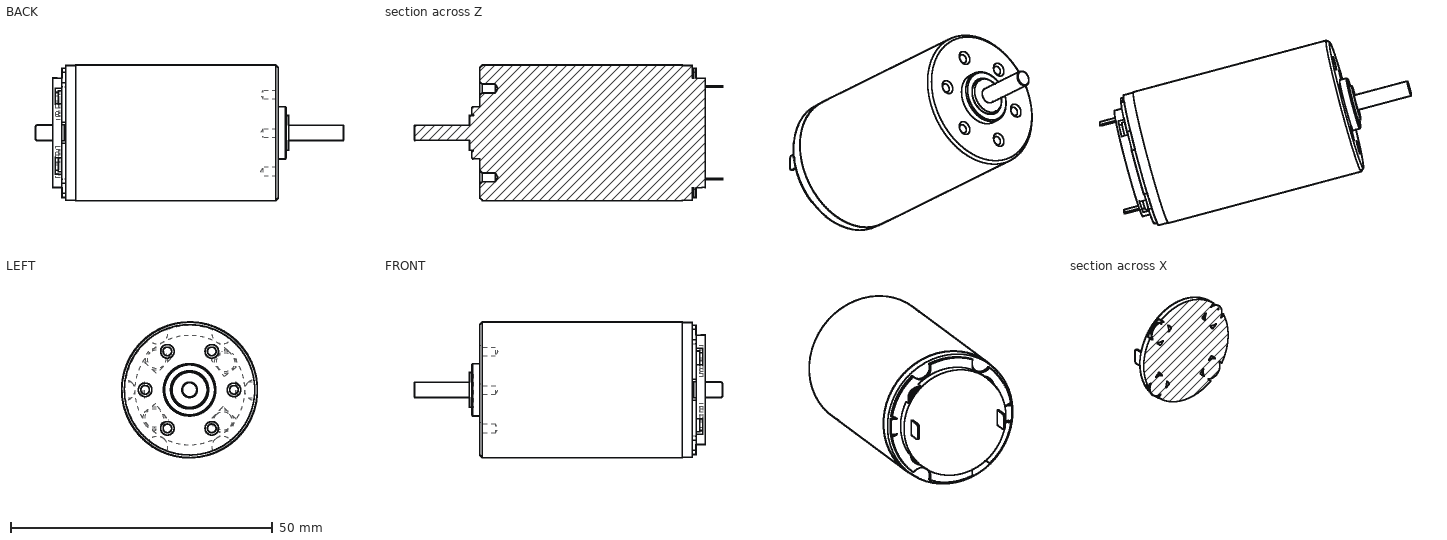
import cadquery as cq
import math

total_length = 59.0

shaft_radius = 1.5
shaft_chamfer = 0.1
bearing_front_x = 10.55
bearing_radius = 3.35
pilot_front_x = 11.0
pilot_radius = 5.0
pilot_chamfer = 0.25
pilot_bore_radius = 3.65
pilot_groove_depth = 0.35

housing_front_x = 12.5
housing_radius = 13.01
housing_chamfer = 0.55
flange_front_x = 51.3
flange_radius = 12.9

ring_front_x = 53.2
ring_radius = 12.4
cap_front_x = 53.9
cap_radius = 10.5
cap_rear_x = 55.7

mount_hole_count = 6
mount_circle_radius = 8.5
mount_hole_radius = 0.8
mount_hole_depth = 2.95
mount_sink_radius = 1.3
drill_point_angle = 118.0

notch_count = 6
notch_radius = 2.0
notch_center_radius = 12.5

window_width = 4.0
window_floor_radius = 6.8
window_rear_x = 55.2
window_angles = (43.0, 142.0, 223.0, 322.0)
post_center_radius = 8.7
post_radius = 2.1
post_step_x = 54.65
post_head_radius = 1.75

terminal_offset = 8.85
terminal_width = 3.0
terminal_thickness = 0.3
terminal_corner = 0.5
strap_front_x = 53.45


def cylinder(front_x, rear_x, radius, y=0.0, z=0.0):
    """Solid cylinder along X between two stations, centred at (y, z)."""
    return (
        cq.Workplane("YZ", origin=(front_x, y, z))
        .circle(radius)
        .extrude(rear_x - front_x)
    )


def polar(radius, angle):
    """(y, z) position at an angle in degrees measured from +Y toward +Z."""
    turn = math.radians(angle)
    return radius * math.cos(turn), radius * math.sin(turn)


def even_angles(count):
    return [index * 360.0 / count for index in range(count)]


def make_front_end():
    """Pilot boss with a chamfered bore groove around the bearing, and the shaft."""
    boss = cylinder(pilot_front_x, housing_front_x, pilot_radius).faces("<X").chamfer(pilot_chamfer)
    groove = cq.Workplane(
        cq.Solid.makeCone(
            pilot_bore_radius,
            bearing_radius,
            pilot_groove_depth,
            cq.Vector(pilot_front_x, 0, 0),
            cq.Vector(1, 0, 0),
        )
    )
    bearing = cylinder(bearing_front_x, housing_front_x, bearing_radius)
    shaft = cylinder(0, housing_front_x, shaft_radius).faces("<X").chamfer(shaft_chamfer)
    return boss.cut(groove).union(bearing).union(shaft)


def make_housing():
    housing = cylinder(housing_front_x, flange_front_x, housing_radius)
    housing = housing.faces("<X").chamfer(housing_chamfer)
    return housing.union(cylinder(flange_front_x, ring_front_x, flange_radius))


def make_mount_hole(angle):
    """Countersunk blind hole with a conical bottom, as a cutting body."""
    sink_depth = mount_sink_radius - mount_hole_radius
    point_depth = mount_hole_radius / math.tan(math.radians(drill_point_angle / 2))
    profile = [
        (0, 0),
        (0, mount_sink_radius),
        (sink_depth, mount_hole_radius),
        (mount_hole_depth, mount_hole_radius),
        (mount_hole_depth + point_depth, 0),
    ]
    y, z = polar(mount_circle_radius, angle)
    hole = cq.Workplane("XY").polyline(profile).close().revolve(360, (0, 0, 0), (1, 0, 0))
    return hole.translate((housing_front_x, y, z))


def make_ring():
    ring = cylinder(ring_front_x, cap_front_x, ring_radius)
    for angle in even_angles(notch_count):
        y, z = polar(notch_center_radius, angle)
        ring = ring.cut(cylinder(ring_front_x, cap_front_x, notch_radius, y, z))
    return ring


def make_window(angle):
    """Radial channel with parallel side walls, open at the rim of the cap."""
    channel_length = ring_radius - window_floor_radius
    return (
        cq.Workplane("XY")
        .box(window_rear_x - cap_front_x, channel_length, window_width, centered=(False, False, True))
        .translate((cap_front_x, window_floor_radius, 0))
        .rotate((0, 0, 0), (1, 0, 0), angle)
    )


def make_post(angle):
    y, z = polar(post_center_radius, angle)
    base = cylinder(cap_front_x, post_step_x, post_radius, y, z)
    return base.union(cylinder(post_step_x, window_rear_x, post_head_radius, y, z))


def make_cap():
    cap = cylinder(cap_front_x, cap_rear_x, cap_radius)
    for angle in window_angles:
        cap = cap.cut(make_window(angle)).union(make_post(angle))
    return cap


def make_terminal(side):
    """Strap running out to the ring's rim plus a tab with rounded corners; side is +1 or -1."""
    tab = (
        cq.Workplane("XY")
        .box(total_length - strap_front_x, terminal_thickness, terminal_width, centered=(False, True, True))
        .edges("|Y and >X")
        .fillet(terminal_corner)
        .translate((strap_front_x, side * terminal_offset, 0))
    )
    strap_length = ring_radius - terminal_offset
    strap_middle = side * (ring_radius + terminal_offset) / 2
    strap = (
        cq.Workplane("XY")
        .box(cap_front_x - strap_front_x, strap_length, terminal_width, centered=(False, True, True))
        .translate((strap_front_x, strap_middle, 0))
    )
    return tab.union(strap)


result = make_housing().union(make_front_end())
for hole_angle in even_angles(mount_hole_count):
    result = result.cut(make_mount_hole(hole_angle))
result = result.union(make_ring()).union(make_cap())
for terminal_side in (1, -1):
    result = result.union(make_terminal(terminal_side))